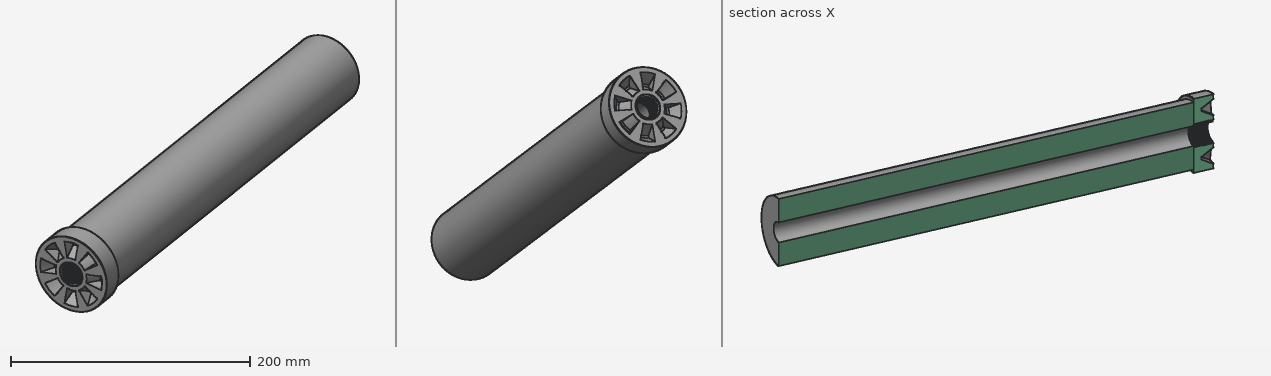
import cadquery as cq

total_length = 409.5
cap_diameter = 70.0
cap_length = 19.2
tube_diameter = 63.5
bore_diameter = 18.5

cap_edge_chamfer = 0.5

thread_major_diameter = 21.7
thread_flat = 0.5
opening_diameter = 22.5
groove_count = 10

pocket_count = 8
pocket_outer_diameter = 60.5
pocket_inner_diameter = 30.5
pocket_floor_inner_diameter = 43.5
pocket_floor_outer_diameter = 47.5
pocket_depth = 11.5
pocket_inner_width = 8.0
pocket_outer_width = 13.5

front_y = -total_length / 2
cap_back_y = front_y + cap_length
tube_length = total_length - cap_length
thread_pitch = cap_length / groove_count


def cylinder(diameter, start_y, length):
    """A cylinder on the Y axis, running from start_y toward +Y."""
    plane = cq.Plane(origin=(0, start_y, 0), xDir=(1, 0, 0), normal=(0, 1, 0))
    return cq.Workplane(plane).circle(diameter / 2).extrude(length)


def pocket_cutter():
    """One pocket above the axis: a tapered ring cut to a tapering outline."""
    floor_y = front_y + pocket_depth
    ring = (
        cq.Workplane("XY")
        .moveTo(pocket_inner_diameter / 2, front_y)
        .lineTo(pocket_outer_diameter / 2, front_y)
        .lineTo(pocket_floor_outer_diameter / 2, floor_y)
        .lineTo(pocket_floor_inner_diameter / 2, floor_y)
        .close()
        .revolve(360, (0, 0, 0), (0, 1, 0))
    )
    inner_z = pocket_inner_diameter / 2
    outer_z = pocket_outer_diameter / 2
    outline_plane = cq.Plane(origin=(0, front_y, 0), xDir=(-1, 0, 0), normal=(0, 1, 0))
    outline = (
        cq.Workplane(outline_plane)
        .moveTo(-pocket_inner_width / 2, 0)
        .lineTo(pocket_inner_width / 2, 0)
        .lineTo(pocket_inner_width / 2, inner_z)
        .lineTo(pocket_outer_width / 2, outer_z)
        .lineTo(-pocket_outer_width / 2, outer_z)
        .lineTo(-pocket_inner_width / 2, inner_z)
        .close()
        .extrude(pocket_depth)
    )
    return ring.intersect(outline)


def threaded_hole():
    """The cap's threaded hole, with a short 45 degree lead-in at the cap face."""
    crest_radius = bore_diameter / 2
    root_radius = thread_major_diameter / 2
    opening_radius = opening_diameter / 2
    profile = cq.Workplane("XY").moveTo(0, front_y).lineTo(opening_radius, front_y)
    profile = profile.lineTo(root_radius, front_y + opening_radius - root_radius)
    for index in range(groove_count):
        groove_y = front_y + index * thread_pitch
        profile = profile.lineTo(root_radius, groove_y + thread_flat)
        profile = profile.lineTo(crest_radius, groove_y + thread_pitch / 2)
        profile = profile.lineTo(crest_radius, groove_y + thread_pitch / 2 + thread_flat)
        profile = profile.lineTo(root_radius, groove_y + thread_pitch)
    return profile.lineTo(0, cap_back_y).close().revolve(360, (0, 0, 0), (0, 1, 0))


def make_cap():
    """End cap with a central threaded hole and a ring of pockets in its outer face."""
    cap = cylinder(cap_diameter, front_y, cap_length)
    cap = cap.edges().chamfer(cap_edge_chamfer)
    cap = cap.cut(threaded_hole())
    cutter = pocket_cutter()
    for index in range(pocket_count):
        angle = index * 360 / pocket_count
        cap = cap.cut(cutter.rotate((0, 0, 0), (0, 1, 0), angle))
    return cap


def make_tube():
    """Long cartridge tube butted against the back of the cap."""
    tube = cylinder(tube_diameter, cap_back_y, tube_length)
    return tube.cut(cylinder(bore_diameter, cap_back_y, tube_length))


cap = make_cap()
tube = make_tube()

result = cq.Compound.makeCompound([cap.val(), tube.val()])